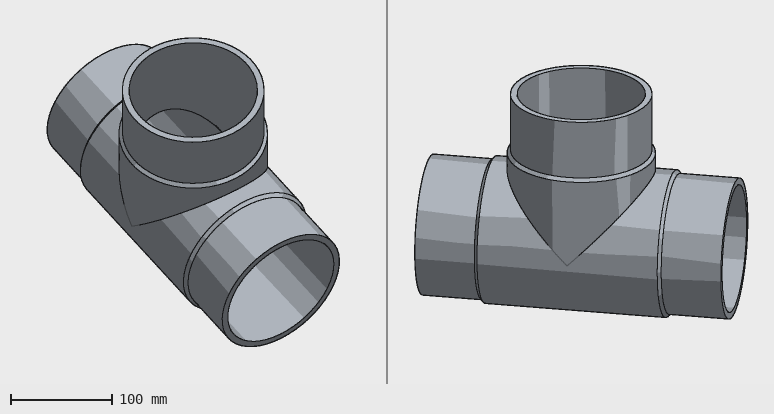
import cadquery as cq

bore_diameter = 126.6
spigot_diameter = 140.0
body_diameter = 146.7
run_length = 308.0
spigot_length = 60.0

end_distance = run_length / 2
body_distance = end_distance - spigot_length
shoulder = (body_diameter - spigot_diameter) / 2

Y_AXIS = ((0, 0, 0), (0, 1, 0))


def make_branch():
    """Solid upright arm from the tee centre: body, bevelled shoulder, spigot."""
    body = cq.Workplane("XY").circle(body_diameter / 2).extrude(body_distance)
    body = body.faces(">Z").chamfer(shoulder)
    spigot = cq.Workplane("XY").circle(spigot_diameter / 2).extrude(end_distance)
    return body.union(spigot)


def make_run():
    """Solid straight run: the branch shape laid along +X, joined to its mirror image."""
    arm = make_branch().rotate(*Y_AXIS, 90)
    return arm.union(arm.mirror("YZ"))


def make_bores():
    """Through bore of the run joined by the bore of the branch."""
    run_bore = cq.Workplane("YZ").circle(bore_diameter / 2).extrude(end_distance, both=True)
    branch_bore = cq.Workplane("XY").circle(bore_diameter / 2).extrude(end_distance)
    return run_bore.union(branch_bore)


result = make_run().union(make_branch()).cut(make_bores())